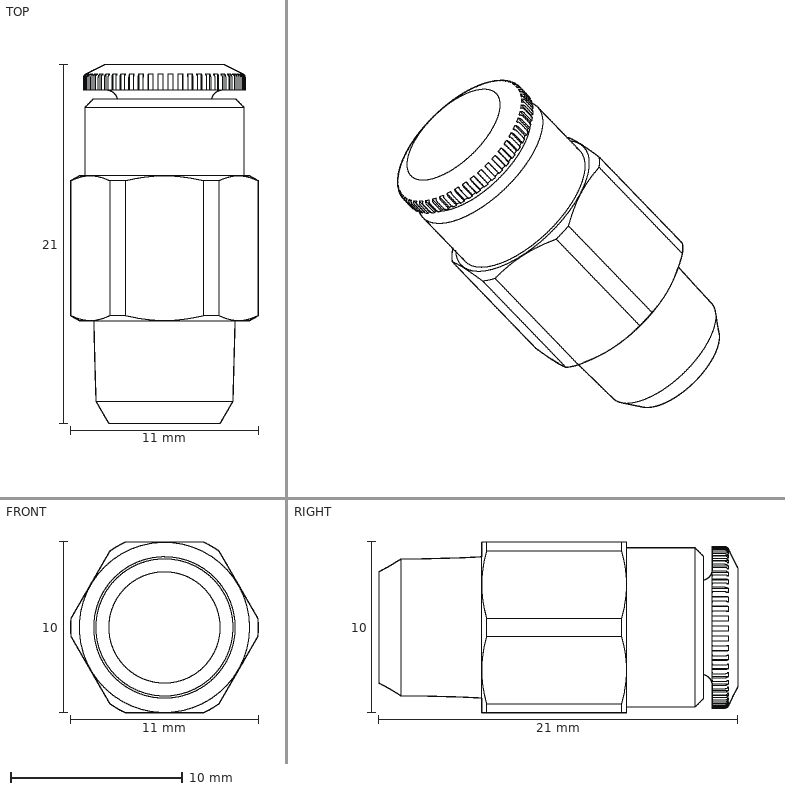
import cadquery as cq
import math


total_length = 21.0
tip_length = 1.3
stem_length = 6.0
hex_length = 8.48
collar_length = 4.5
collar_chamfer = 0.5
neck_gap = 0.5
rim_length = 0.95

tip_radius = 3.25
stem_tip_radius = 4.01
stem_root_radius = 4.14
collar_radius = 4.66
neck_radius = 2.75
neck_fillet = 0.65
button_face_radius = 3.46
button_root_radius = 4.6
rib_top_radius = 4.72

hex_flats = 10.0
hex_corner_diameter = 10.98
hex_face_radius = 4.98
hex_chamfer_angle = 30.0
hex_turn = 30.0

rib_count = 50
rib_phase = 2.8
rib_end_radius = 0.23

hex_start = stem_length
hex_end = hex_start + hex_length
collar_end = hex_end + collar_length
rim_start = collar_end + neck_gap
rim_end = rim_start + rim_length


def revolve_about_y(profile):
    return profile.close().revolve(360, (0, 0, 0), (0, 1, 0))


def make_stem():
    """Tapered stem with a conical tip."""
    return revolve_about_y(
        cq.Workplane("XY")
        .lineTo(tip_radius, 0)
        .lineTo(stem_tip_radius, tip_length)
        .lineTo(stem_root_radius, hex_start)
        .lineTo(0, hex_start)
    )


def make_hexagon():
    """Hexagon with flats facing +Z and -Z, its corners turned round and chamfered at both ends."""
    corner_radius = hex_corner_diameter / 2
    chamfer_length = (corner_radius - hex_face_radius) * math.tan(math.radians(hex_chamfer_angle))
    prism = (
        cq.Workplane("XZ", origin=(0, hex_start, 0))
        .polygon(6, hex_flats, circumscribed=True)
        .extrude(-hex_length)
        .rotate((0, 0, 0), (0, 1, 0), hex_turn)
    )
    turned_blank = revolve_about_y(
        cq.Workplane("XY")
        .moveTo(0, hex_start)
        .lineTo(hex_face_radius, hex_start)
        .lineTo(corner_radius, hex_start + chamfer_length)
        .lineTo(corner_radius, hex_end - chamfer_length)
        .lineTo(hex_face_radius, hex_end)
        .lineTo(0, hex_end)
    )
    return prism.intersect(turned_blank)


def make_collar():
    """Round collar with a chamfered outer end."""
    return (
        cq.Workplane("XZ", origin=(0, hex_end, 0))
        .circle(collar_radius)
        .extrude(-collar_length)
        .faces(">Y")
        .chamfer(collar_chamfer)
    )


def make_button():
    """Neck flaring into a conical button; the rim is at the root of the knurl."""
    flare_radius = neck_radius + neck_fillet
    flare_center_y = rim_start - neck_fillet

    def flare_point(angle):
        return (
            flare_radius - neck_fillet * math.cos(angle),
            flare_center_y + neck_fillet * math.sin(angle),
        )

    start_angle = math.asin((collar_end - flare_center_y) / neck_fillet)
    end_angle = math.pi / 2
    return revolve_about_y(
        cq.Workplane("XY")
        .moveTo(0, collar_end)
        .lineTo(*flare_point(start_angle))
        .threePointArc(flare_point((start_angle + end_angle) / 2), flare_point(end_angle))
        .lineTo(button_root_radius, rim_start)
        .lineTo(button_root_radius, rim_end)
        .lineTo(button_face_radius, total_length)
        .lineTo(0, total_length)
    )


def make_ribs():
    """Knurl ribs around the rim, each as wide as the gap beside it and rounded at its outer end."""
    rib_height = rib_top_radius - button_root_radius
    rib_angle = 180 / rib_count
    end_tilt = math.acos(1 - rib_height / rib_end_radius)
    arc_start_y = rim_end - rib_end_radius * math.sin(end_tilt)
    arc_middle = (
        rib_top_radius - rib_end_radius * (1 - math.cos(end_tilt / 2)),
        arc_start_y + rib_end_radius * math.sin(end_tilt / 2),
    )
    inner_radius = button_face_radius
    rib = (
        cq.Workplane("XY")
        .moveTo(inner_radius, rim_start)
        .lineTo(rib_top_radius, rim_start)
        .lineTo(rib_top_radius, arc_start_y)
        .threePointArc(arc_middle, (button_root_radius, rim_end))
        .lineTo(inner_radius, rim_end)
        .close()
        .revolve(rib_angle, (0, 0, 0), (0, 1, 0))
    )
    first_turn = -rib_phase - rib_angle / 2
    return [
        rib.rotate((0, 0, 0), (0, 1, 0), first_turn - index * 360 / rib_count).val()
        for index in range(rib_count)
    ]


body = make_stem().union(make_hexagon()).union(make_collar()).union(make_button())
result = cq.Workplane("XY").newObject([body.val().fuse(*make_ribs()).clean()])